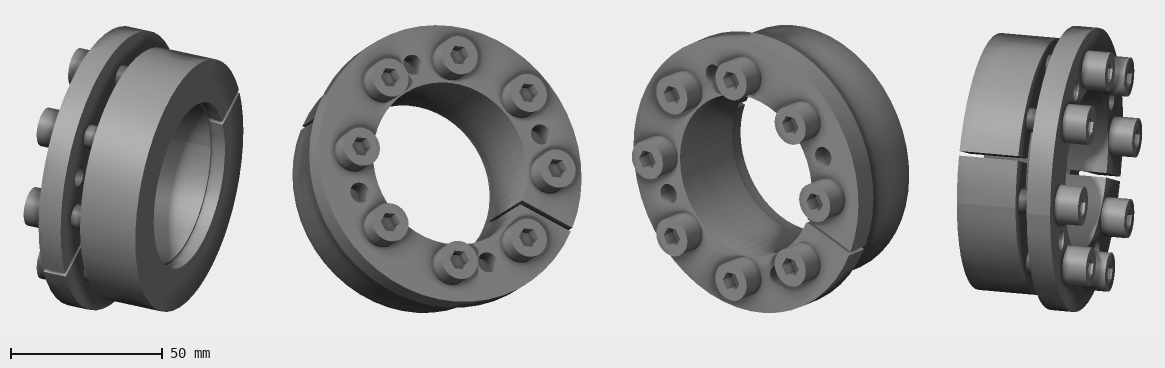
import cadquery as cq
import math

head_height = 8.0
flange_thickness = 8.0
gap_length = 5.0
ring_length = 20.0
hub_setback = 5.0

flange_x = -(head_height + flange_thickness + gap_length + ring_length) / 2 + head_height
flange_back_x = flange_x + flange_thickness
ring_x = flange_back_x + gap_length
ring_end_x = ring_x + ring_length
hub_end_x = ring_end_x - hub_setback

flange_radius = 47
ring_radius = 42.5
bore_radius = 27.5
cone_radius = 30.0
taper_angle = 4.5

screw_count = 8
pitch_radius = 34.9
head_radius = 6.5
shank_radius = 4.0
socket_sides = 6
socket_flats = 6.0
socket_depth = 5.0
jack_count = 4
jack_radius = 3.4

slit_width = 1.5
half_pitch = 180 / screw_count
ring_slit_angle = half_pitch
hub_slit_angle = ring_slit_angle + 180


def cylinder(radius, start_x, end_x):
    """Solid cylinder on the X axis."""
    return cq.Workplane("YZ", origin=(start_x, 0, 0)).circle(radius).extrude(end_x - start_x)


def taper_radius(x):
    """Radius of the mating taper, which narrows away from the flange."""
    return cone_radius - (x - flange_back_x) * math.tan(math.radians(taper_angle))


def taper(start_x, end_x):
    """Solid cone frustum on the X axis that follows the mating taper."""
    profile = [
        (start_x, 0),
        (start_x, taper_radius(start_x)),
        (end_x, taper_radius(end_x)),
        (end_x, 0),
    ]
    return cq.Workplane("XY").polyline(profile).close().revolve(360, (0, 0, 0), (1, 0, 0))


def pitch_holes(radius, start_x, end_x, count, start_angle):
    """Cylinders spaced evenly on the pitch circle, used for cutting holes."""
    return (
        cq.Workplane("YZ", origin=(start_x, 0, 0))
        .polarArray(pitch_radius, start_angle, 360, count)
        .circle(radius)
        .extrude(end_x - start_x)
    )


def slit(start_x, end_x, angle):
    """Radial slot cutter; the angle is measured from +Y towards +Z."""
    return (
        cq.Workplane("XY")
        .box(end_x - start_x, flange_radius, slit_width, centered=(False, False, True))
        .translate((start_x, 0, 0))
        .rotate((0, 0, 0), (1, 0, 0), angle)
    )


def make_flanged_hub():
    """Slit flange with a tapered hub, a plain bore, screw holes and jacking holes."""
    hub = cylinder(flange_radius, flange_x, flange_back_x).union(taper(flange_back_x, hub_end_x))
    hub = hub.cut(cylinder(bore_radius, flange_x, hub_end_x))
    hub = hub.cut(pitch_holes(shank_radius, flange_x, flange_back_x, screw_count, 0))
    hub = hub.cut(pitch_holes(jack_radius, flange_x, flange_back_x, jack_count, -half_pitch))
    return hub.cut(slit(flange_x, hub_end_x, hub_slit_angle))


def make_clamp_ring():
    """Slit outer ring with a tapered bore and a screw hole at each screw."""
    ring = cylinder(ring_radius, ring_x, ring_end_x).cut(taper(ring_x, ring_end_x))
    ring = ring.cut(pitch_holes(shank_radius, ring_x, ring_end_x, screw_count, 0))
    return ring.cut(slit(ring_x, ring_end_x, ring_slit_angle))


def make_screw(angle):
    """Socket head screw seated on the flange and ending flush with the ring."""
    head_x = flange_x - head_height
    socket_corners = socket_flats / math.cos(math.pi / socket_sides)
    head = cylinder(head_radius, head_x, flange_x)
    socket = (
        cq.Workplane("YZ", origin=(head_x, 0, 0))
        .polygon(socket_sides, socket_corners)
        .extrude(socket_depth)
    )
    screw = head.union(cylinder(shank_radius, flange_x, ring_end_x)).cut(socket)
    angle_radians = math.radians(angle)
    place = (0, pitch_radius * math.cos(angle_radians), pitch_radius * math.sin(angle_radians))
    return screw.translate(place)


flanged_hub = make_flanged_hub()
clamp_ring = make_clamp_ring()
screws = [make_screw(index * 360 / screw_count) for index in range(screw_count)]

result = cq.Compound.makeCompound(
    [flanged_hub.val(), clamp_ring.val(), *[screw.val() for screw in screws]]
)